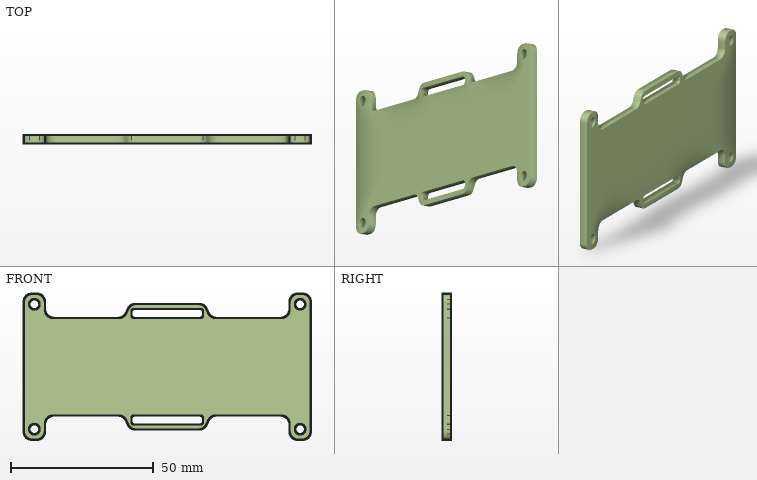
import cadquery as cq
import math

plate_length = 100.5
plate_thickness = 3.0
plate_height = 51.2
body_height = 34.2
outline_radius = 3.0

ear_width = 7.5
hole_diameter = 3.5
hole_edge_distance = ear_width / 2

slot_length = 25.0
slot_height = 3.1
slot_corner_radius = 1.0
loop_wall = 1.8
loop_top_length = 26.0
loop_flank_angle = math.radians(66)

loop_height = slot_height + loop_wall
loop_flank_run = loop_height / math.tan(loop_flank_angle)


def back_face():
    """Workplane on the +Y face of the plate; extruding runs toward -Y."""
    return cq.Workplane("XZ", origin=(0, plate_thickness / 2, 0))


def make_plate():
    """Extrude the outline through the thickness and round all of its corners."""
    half_length = plate_length / 2
    half_height = plate_height / 2
    half_body = body_height / 2
    half_loop = loop_top_length / 2

    upper_right = [
        (half_loop, half_body + loop_height),
        (half_loop + loop_flank_run, half_body),
        (half_length - ear_width, half_body),
        (half_length - ear_width, half_height),
        (half_length, half_height),
    ]
    lower_right = [(x, -z) for x, z in reversed(upper_right)]
    right_side = upper_right + lower_right
    left_side = [(-x, z) for x, z in reversed(right_side)]

    outline = back_face().polyline(right_side + left_side).close()
    plate = outline.extrude(plate_thickness)
    return plate.edges("|Y").fillet(outline_radius)


def make_mounting_holes():
    """Cutters for the four through holes in the ears."""
    spacing_x = plate_length - 2 * hole_edge_distance
    spacing_z = plate_height - 2 * hole_edge_distance
    return (
        back_face()
        .rect(spacing_x, spacing_z, forConstruction=True)
        .vertices()
        .circle(hole_diameter / 2)
        .extrude(plate_thickness)
    )


def make_strap_slots():
    """Cutters for the two strap slots, each resting on a long edge of the body."""
    slot_offset = (body_height + slot_height) / 2
    return (
        back_face()
        .pushPoints([(0, slot_offset), (0, -slot_offset)])
        .rect(slot_length, slot_height)
        .extrude(plate_thickness)
        .edges("|Y")
        .fillet(slot_corner_radius)
    )


result = make_plate().cut(make_mounting_holes()).cut(make_strap_slots())